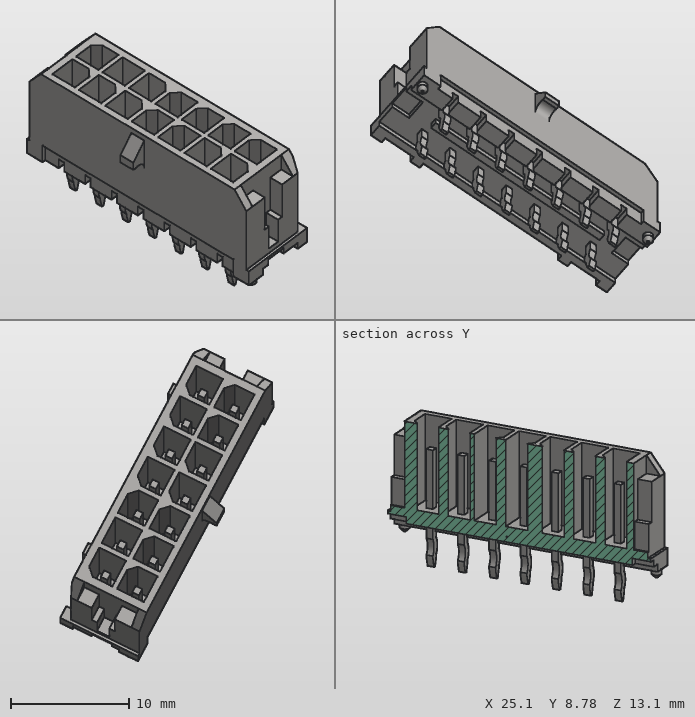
import cadquery as cq


flange_length = 25.15
flange_height = 1.58
housing_length = 24.6
housing_depth = 6.9
housing_height = 9.9
top_length = 21.93
shoulder_z = 8.25
back_corner_x = 11.42
back_corner_y = 6.51
pedestal_length = 21.6
pedestal_height = 1.89
pedestal_inset = 0.35

rear_reach = 7.4
rib_spacing = 15.75
rib_width = 1.03
rib_height = 8.32

end_pocket = (0.78, 5.9)
wide_slot = (2.35, 4.53)
wide_slot_floor = 4.6
narrow_slot = (2.87, 4.02)
narrow_slot_floor = 2.11

channel = (1.8, 6.2)
channel_height = 0.68
end_notch = (2.5, 4.4)
end_notch_height = 1.28
spacer = (3.1, 3.72)
pin_slot_width = 0.6
pin_slot_height = 1.0

pitch = 3.0
columns = 7
front_row_y = 1.9
row_ys = (front_row_y, front_row_y + pitch)
cavity_size = 2.55
cavity_floor = 2.11
key_chamfer = 0.68
front_keys = "RRRLLRR"
back_keys = "L-RLLLL"
pin_size = 0.63
pin_top = 7.42
pin_bottom = -3.17
bend_top = -0.6
bend_bottom = -2.11
bend_offset = 0.2
taper_top = -2.35
tip_size = 0.23

latch_width = 1.45
latch_top = 9.35
latch_reach = 1.38
latch_nose_top = 7.75
latch_nose_bottom = 6.95
latch_lip = 0.35
latch_bottom = 6.25
latch_arc_point = (-0.3, 6.87)
latch_root = 0.25

peg_x = 12.02
peg_y = 0.95
peg_diameter = 0.9
peg_shank = 0.5
peg_length = 0.85
peg_tip_diameter = 0.2


def block(x_range, y_range, z_range):
    """Box between pairs of X, Y and Z limits."""
    size = [high - low for low, high in (x_range, y_range, z_range)]
    corner = (x_range[0], y_range[0], z_range[0])
    return cq.Workplane("XY").box(*size, centered=False).translate(corner)


def centred(length):
    """X limits of a length centred on X = 0."""
    return (-length / 2, length / 2)


def on_both_ends(solid):
    """A solid together with its mirror image across X = 0."""
    return solid.union(solid.mirror("YZ"))


def column_xs():
    return [(column - (columns - 1) / 2) * pitch for column in range(columns)]


def make_shell():
    """Housing with sloped top ends and bevelled rear corners, on its flange."""
    slopes = (
        cq.Workplane("XZ")
        .moveTo(-housing_length / 2, 0)
        .lineTo(-housing_length / 2, shoulder_z)
        .lineTo(-top_length / 2, housing_height)
        .lineTo(top_length / 2, housing_height)
        .lineTo(housing_length / 2, shoulder_z)
        .lineTo(housing_length / 2, 0)
        .close()
        .extrude(-housing_depth)
    )
    plan = (
        cq.Workplane("XY")
        .moveTo(-housing_length / 2, 0)
        .lineTo(housing_length / 2, 0)
        .lineTo(housing_length / 2, back_corner_y)
        .lineTo(back_corner_x, housing_depth)
        .lineTo(-back_corner_x, housing_depth)
        .lineTo(-housing_length / 2, back_corner_y)
        .close()
        .extrude(housing_height)
    )
    flange = block(centred(flange_length), (0, housing_depth), (0, flange_height))
    return slopes.intersect(plan).union(flange)


def make_rear_supports():
    """Corner ears and upright ribs behind the rear wall."""
    overlap_y = (back_corner_y, rear_reach)
    ear = block((back_corner_x, flange_length / 2), overlap_y, (0, flange_height))
    rib = block(centred(rib_width), overlap_y, (0, rib_height))
    return on_both_ends(ear.union(rib.translate((rib_spacing / 2, 0, 0))))


def make_end_slots():
    """Open pocket above the shoulders and the stepped key slot below it."""
    slot_x = (top_length / 2, flange_length / 2)
    pocket = block(slot_x, end_pocket, (shoulder_z, housing_height))
    wide = block(slot_x, wide_slot, (wide_slot_floor, housing_height))
    narrow = block(slot_x, narrow_slot, (narrow_slot_floor, housing_height))
    return on_both_ends(pocket.union(wide).union(narrow))


def make_underside_cuts():
    """Pedestal inset, channel along the board, end notches and front pin slots."""
    inset = block(centred(pedestal_length), (0, pedestal_inset), (0, pedestal_height))
    channel_cut = block(centred(flange_length), channel, (0, channel_height))
    notch_x = (pedestal_length / 2, flange_length / 2)
    notches = on_both_ends(block(notch_x, end_notch, (0, end_notch_height)))
    cuts = inset.union(channel_cut).union(notches)
    for x in column_xs():
        slot = block(centred(pin_slot_width), (0, front_row_y), (0, pin_slot_height))
        cuts = cuts.union(slot.translate((x, 0, 0)))
    return cuts


def make_spacer():
    """Rib that fills the middle of the channel down to the board."""
    return block(centred((columns - 1) * pitch), spacer, (0, channel_height))


def make_cavity(x, y, key):
    """Square terminal cavity, with one rear corner cut off if it is keyed."""
    depth = housing_height - cavity_floor
    base = cq.Workplane("XY").workplane(offset=cavity_floor)
    cavity = base.rect(cavity_size, cavity_size).extrude(depth)
    if key == "L":
        cavity = cavity.edges("|Z and <X and >Y").chamfer(key_chamfer)
    if key == "R":
        cavity = cavity.edges("|Z and >X and >Y").chamfer(key_chamfer)
    return cavity.translate((x, y, 0))


def make_pin():
    """Square pin whose tail bows toward -Y and ends in a tapered tip."""
    half = pin_size / 2
    bend_middle = (bend_top + bend_bottom) / 2
    return (
        cq.Workplane("YZ")
        .moveTo(-half, pin_top)
        .lineTo(-half, bend_top)
        .threePointArc((-half - bend_offset, bend_middle), (-half, bend_bottom))
        .lineTo(-half, taper_top)
        .lineTo(-tip_size / 2, pin_bottom)
        .lineTo(tip_size / 2, pin_bottom)
        .lineTo(half, taper_top)
        .lineTo(half, bend_bottom)
        .threePointArc((half - bend_offset, bend_middle), (half, bend_top))
        .lineTo(half, pin_top)
        .close()
        .extrude(half, both=True)
    )


def make_latch():
    """Wedge on the front wall with a hooked, hollowed underside."""
    return (
        cq.Workplane("YZ")
        .moveTo(0, latch_top)
        .lineTo(-latch_reach, latch_nose_top)
        .lineTo(-latch_reach, latch_nose_bottom)
        .lineTo(-latch_reach + latch_lip, latch_nose_bottom)
        .threePointArc(latch_arc_point, (0, latch_bottom))
        .lineTo(latch_root, latch_bottom)
        .lineTo(latch_root, latch_top)
        .close()
        .extrude(latch_width / 2, both=True)
    )


def make_peg():
    """Round locating peg with a conical tip, rooted in the flange."""
    peg = (
        cq.Workplane("XZ")
        .moveTo(0, flange_height / 2)
        .lineTo(peg_diameter / 2, flange_height / 2)
        .lineTo(peg_diameter / 2, -peg_shank)
        .lineTo(peg_tip_diameter / 2, -peg_length)
        .lineTo(0, -peg_length)
        .close()
        .revolve(360, (0, 0, 0), (0, 1, 0))
    )
    return peg.translate((peg_x, peg_y, 0))


body = make_shell().union(make_rear_supports())
body = body.cut(make_end_slots()).cut(make_underside_cuts())
body = body.union(make_spacer()).union(make_latch()).union(on_both_ends(make_peg()))

front_pin = make_pin()
back_pin = front_pin.mirror("XZ")
rows = (
    (row_ys[0], front_keys, front_pin),
    (row_ys[1], back_keys, back_pin),
)
for row_y, keys, pin in rows:
    for x, key in zip(column_xs(), keys):
        body = body.cut(make_cavity(x, row_y, key))
        body = body.union(pin.translate((x, row_y, 0)))

result = body